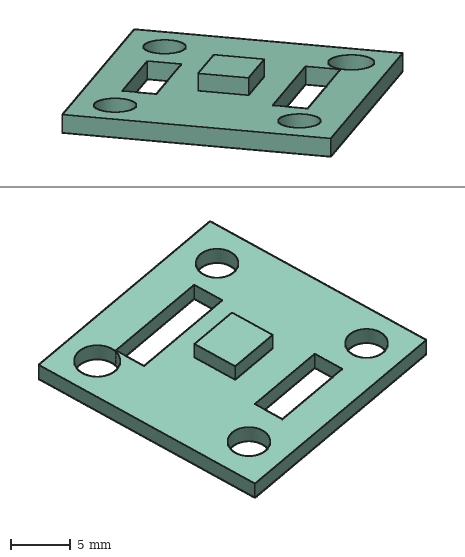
import cadquery as cq

plate_length = 23.5
plate_width = 23.0
total_height = 3.2
plate_thickness = 1.65

block_length = 4.42
block_width = 5.03
block_center = (-0.12, 0.0)

small_hole_diameter = 3.6
large_hole_diameter = 3.9
holes = [
    ((-8.05, 7.75), small_hole_diameter),
    ((-8.08, -8.0), small_hole_diameter),
    ((8.0, -7.8), small_hole_diameter),
    ((8.2, 8.01), large_hole_diameter),
]

slots = [
    ((-7.0, -0.2), 2.98, 8.04),
    ((6.27, 0.75), 3.05, 10.5),
]


def make_plate():
    return cq.Workplane("XY").box(
        plate_length, plate_width, plate_thickness, centered=(True, True, False)
    )


def make_block():
    """Block running from the plate underside to the full height."""
    return (
        cq.Workplane("XY")
        .center(*block_center)
        .rect(block_length, block_width)
        .extrude(total_height)
    )


def make_hole(center, diameter):
    return cq.Workplane("XY").center(*center).circle(diameter / 2).extrude(plate_thickness)


def make_slot(center, length, width):
    return cq.Workplane("XY").center(*center).rect(length, width).extrude(plate_thickness)


result = make_plate().union(make_block())
for center, diameter in holes:
    result = result.cut(make_hole(center, diameter))
for center, length, width in slots:
    result = result.cut(make_slot(center, length, width))